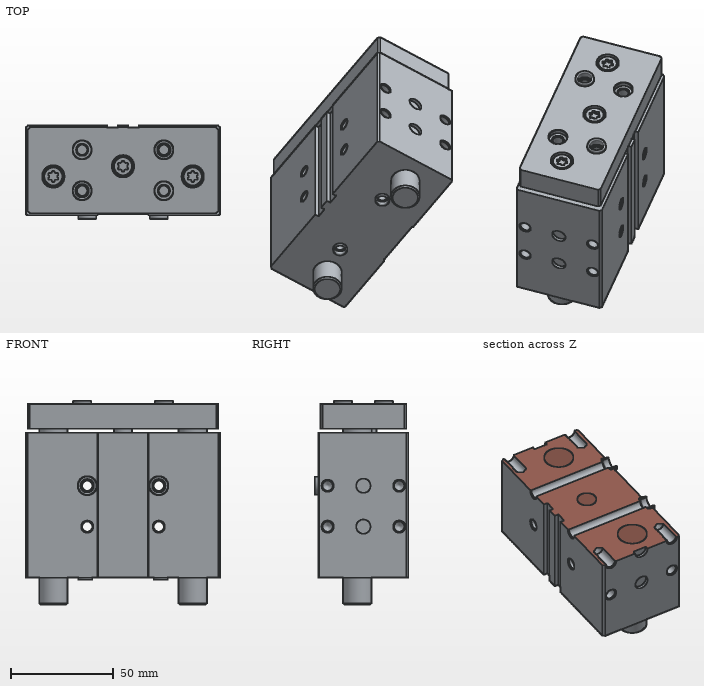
import cadquery as cq
import math


housing_width = 95.0
housing_depth = 44.1
housing_height = 71.0
housing_top = housing_height
back_face = 22.0
front_face = back_face - housing_depth
back_corner = 1.0
front_corner_width = 0.9
front_corner_depth = 0.5

front_recess_width = 25.4
front_recess_depth = 0.5
front_recess_slope = front_recess_depth

slot_width = 5.1
slot_rib_width = 5.1
slot_depth = 2.0

hole_rows = (25.0, 45.0)
lower_row, upper_row = hole_rows
hole_column_x = 17.5
side_hole_y = 17.5
thread_bore = 5.0
thread_mouth = 6.0
side_hole_depth = 12.0
drill_point_half_angle = 59.0
side_seat_diameter = 7.0
side_seat_depth = 1.6

yoke_gap = 1.8
yoke_width = 93.0
yoke_depth = 42.0
yoke_thickness = 12.2
yoke_corner = 1.0
yoke_bottom = housing_top + yoke_gap
yoke_top = yoke_bottom + yoke_thickness

guide_rod_x = 34.1
guide_rod_y = -3.0
guide_rod_diameter = 14.0
guide_rod_overhang = 13.2
guide_rod_chamfer = 0.8
piston_rod_y = 2.0
piston_rod_diameter = 9.0
piston_rod_engagement = 35.0

screw_places = ((-guide_rod_x, guide_rod_y), (0, piston_rod_y), (guide_rod_x, guide_rod_y))
counterbore_diameter = 11.0
counterbore_depth = 6.0
head_diameter = 9.8
head_drop = 0.5
head_chamfer = 0.5
drive_lobe_diameter = 5.5
drive_valley_diameter = 4.0
drive_lobe_width = 1.3
drive_depth = 1.5
drive_lobe_count = 6

yoke_hole_x = 20.0
yoke_hole_y = 10.0
yoke_holes = [(x, y) for x in (-yoke_hole_x, yoke_hole_x) for y in (-yoke_hole_y, yoke_hole_y)]
yoke_sleeve_places = [(x, y) for x, y in yoke_holes if x * y > 0]

large_sleeve_diameter = 9.0
large_sleeve_bore = 6.6
large_sleeve_length = 4.0
large_seat_chamfer = 0.2
front_sleeve_protrusion = 1.75
yoke_sleeve_protrusion = 1.6
yoke_seat_depth = large_sleeve_length - yoke_sleeve_protrusion
front_seat_depth = large_sleeve_length - front_sleeve_protrusion
small_sleeve_diameter = 7.0
small_sleeve_bore = 5.2
small_sleeve_length = 3.0
small_sleeve_protrusion = 1.1
small_seat_depth = small_sleeve_length - small_sleeve_protrusion
bottom_sleeve_x = 18.5
bottom_sleeve_y = 0.0
bottom_hole_depth = 12.0


def cylinder(diameter, length, start, direction):
    """A solid cylinder from its start point along a direction."""
    solid = cq.Solid.makeCylinder(diameter / 2, length, cq.Vector(*start), cq.Vector(*direction))
    return cq.Workplane(solid)


def cone(start_diameter, end_diameter, length, start, direction):
    """A solid cone or frustum from its start point along a direction."""
    axis = (cq.Vector(*start), cq.Vector(*direction))
    return cq.Workplane(cq.Solid.makeCone(start_diameter / 2, end_diameter / 2, length, *axis))


def mouth_chamfer(start, direction):
    """The 45 degree mouth of a threaded hole."""
    return cone(thread_mouth, thread_bore, (thread_mouth - thread_bore) / 2, start, direction)


def large_sleeve_seat(depth, start, direction):
    """The seat of a large sleeve, with a narrow 45 degree mouth."""
    mouth_diameter = large_sleeve_diameter + 2 * large_seat_chamfer
    seat = cylinder(large_sleeve_diameter, depth, start, direction)
    return seat.union(cone(mouth_diameter, large_sleeve_diameter, large_seat_chamfer, start, direction))


def threaded_blind_hole(depth, start, direction):
    """A chamfered blind hole with a drill point."""
    point_length = thread_bore / 2 / math.tan(math.radians(drill_point_half_angle))
    point_start = [s + depth * d for s, d in zip(start, direction)]
    hole = cylinder(thread_bore, depth, start, direction)
    hole = hole.union(cone(thread_bore, 0, point_length, point_start, direction))
    return hole.union(mouth_chamfer(start, direction))


def centering_sleeve(diameter, bore, length):
    """A sleeve along Z, starting at Z = 0, with fully rounded rims."""
    outer = diameter / 2
    inner = bore / 2
    middle = (outer + inner) / 2
    rim = (outer - inner) / 2
    wall = cq.Workplane("XZ").moveTo(outer, rim).lineTo(outer, length - rim)
    wall = wall.threePointArc((middle, length), (inner, length - rim)).lineTo(inner, rim)
    wall = wall.threePointArc((middle, 0), (outer, rim)).close()
    return wall.revolve(360, (0, 0, 0), (0, 1, 0))


def make_housing():
    half_width = housing_width / 2
    outline = [
        (half_width - front_corner_width, front_face),
        (half_width, front_face + front_corner_depth),
        (half_width, back_face - back_corner),
        (half_width - back_corner, back_face),
    ]
    outline += [(-x, y) for x, y in reversed(outline)]
    return cq.Workplane("XY").polyline(outline).close().extrude(housing_height)


def cut_front_recess(body):
    outer = front_recess_width / 2
    inner = outer - front_recess_slope
    bottom = front_face + front_recess_depth
    outline = [(-outer, front_face), (-inner, bottom), (inner, bottom), (outer, front_face)]
    return body.cut(cq.Workplane("XY").polyline(outline).close().extrude(housing_height))


def cut_back_slots(body):
    offset = (slot_rib_width + slot_width) / 2
    slots = cq.Workplane("XY").pushPoints([(-offset, back_face), (offset, back_face)])
    return body.cut(slots.rect(slot_width, 2 * slot_depth).extrude(housing_height))


def cut_front_holes(body):
    for x in (-hole_column_x, hole_column_x):
        for z in hole_rows:
            body = body.cut(cylinder(thread_bore, housing_depth, (x, front_face, z), (0, 1, 0)))
            body = body.cut(mouth_chamfer((x, back_face, z), (0, -1, 0)))
        seat_end = front_face + front_seat_depth
        body = body.cut(mouth_chamfer((x, front_face, lower_row), (0, 1, 0)))
        body = body.cut(large_sleeve_seat(front_seat_depth, (x, front_face, upper_row), (0, 1, 0)))
        body = body.cut(mouth_chamfer((x, seat_end, upper_row), (0, 1, 0)))
    return body


def cut_side_holes(body):
    for side in (-1, 1):
        face_x = side * housing_width / 2
        inward = (-side, 0, 0)
        for z in hole_rows:
            body = body.cut(cylinder(side_seat_diameter, side_seat_depth, (face_x, 0, z), inward))
            for y in (-side_hole_y, side_hole_y):
                body = body.cut(threaded_blind_hole(side_hole_depth, (face_x, y, z), inward))
    return body


def cut_bottom_holes(body):
    for x in (-bottom_sleeve_x, bottom_sleeve_x):
        seat_start = (x, bottom_sleeve_y, 0)
        seat_end = (x, bottom_sleeve_y, small_seat_depth)
        body = body.cut(cylinder(small_sleeve_diameter, small_seat_depth, seat_start, (0, 0, 1)))
        body = body.cut(threaded_blind_hole(bottom_hole_depth, seat_end, (0, 0, 1)))
    return body


def guide_rods():
    length = guide_rod_overhang + yoke_bottom
    rods = cq.Workplane("XY", origin=(0, 0, -guide_rod_overhang))
    rods = rods.pushPoints([(-guide_rod_x, guide_rod_y), (guide_rod_x, guide_rod_y)])
    rods = rods.circle(guide_rod_diameter / 2).extrude(length)
    return rods.faces("<Z").edges().chamfer(guide_rod_chamfer)


def piston_rod():
    start = (0, piston_rod_y, housing_top - piston_rod_engagement)
    return cylinder(piston_rod_diameter, piston_rod_engagement + yoke_gap, start, (0, 0, 1))


def screw_drive_recess():
    """A six-lobed socket below Z = 0."""
    recess = cq.Workplane("XY").circle(drive_valley_diameter / 2).extrude(-drive_depth)
    lobe_pair = cq.Workplane("XY").slot2D(drive_lobe_diameter, drive_lobe_width, 90).extrude(-drive_depth)
    for i in range(drive_lobe_count // 2):
        recess = recess.union(lobe_pair.rotate((0, 0, 0), (0, 0, 1), i * 360 / drive_lobe_count))
    return recess


def screw_head():
    """A socket head with its top at Z = 0, reaching the bottom of its counterbore."""
    head = cq.Workplane("XY").circle(head_diameter / 2).extrude(head_drop - counterbore_depth)
    head = head.faces(">Z").edges().chamfer(head_chamfer)
    return head.cut(screw_drive_recess())


def make_moving_unit():
    yoke = cq.Workplane("XY", origin=(0, 0, yoke_bottom))
    yoke = yoke.rect(yoke_width, yoke_depth).extrude(yoke_thickness)
    yoke = yoke.edges("|Z").chamfer(yoke_corner)
    head = screw_head()
    for x, y in screw_places:
        yoke = yoke.cut(cylinder(counterbore_diameter, counterbore_depth, (x, y, yoke_top), (0, 0, -1)))
        yoke = yoke.union(head.translate((x, y, yoke_top - head_drop)))
    for x, y in yoke_holes:
        seat_end = (x, y, yoke_top - yoke_seat_depth)
        yoke = yoke.cut(large_sleeve_seat(yoke_seat_depth, (x, y, yoke_top), (0, 0, -1)))
        yoke = yoke.cut(cylinder(thread_bore, yoke_thickness, seat_end, (0, 0, -1)))
        yoke = yoke.cut(mouth_chamfer(seat_end, (0, 0, -1)))
    return yoke.union(guide_rods()).union(piston_rod())


housing = make_housing()
housing = cut_front_recess(housing)
housing = cut_back_slots(housing)
housing = cut_front_holes(housing)
housing = cut_side_holes(housing)
housing = cut_bottom_holes(housing)
housing = housing.cut(guide_rods()).cut(piston_rod())

moving_unit = make_moving_unit()

large_sleeve = centering_sleeve(large_sleeve_diameter, large_sleeve_bore, large_sleeve_length)
small_sleeve = centering_sleeve(small_sleeve_diameter, small_sleeve_bore, small_sleeve_length)

yoke_sleeves = []
for x, y in yoke_sleeve_places:
    yoke_sleeves.append(large_sleeve.translate((x, y, yoke_top - yoke_seat_depth)).val())

front_sleeves = []
upright_sleeve = large_sleeve.rotate((0, 0, 0), (1, 0, 0), 90)
for x in (-hole_column_x, hole_column_x):
    front_sleeves.append(upright_sleeve.translate((x, front_face + front_seat_depth, upper_row)).val())

bottom_sleeves = []
for x in (-bottom_sleeve_x, bottom_sleeve_x):
    bottom_sleeves.append(small_sleeve.translate((x, bottom_sleeve_y, -small_sleeve_protrusion)).val())

result = cq.Compound.makeCompound(
    [housing.val(), moving_unit.val(), *yoke_sleeves, *front_sleeves, *bottom_sleeves]
)